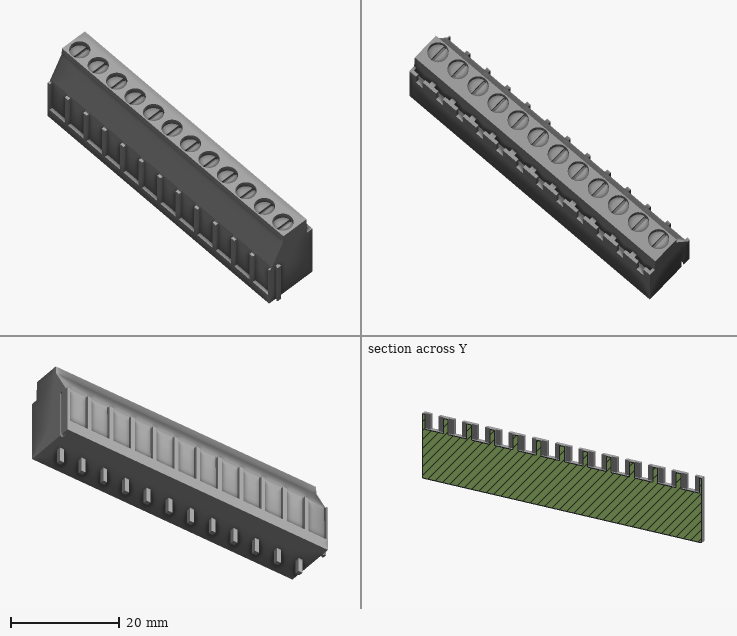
import cadquery as cq

pole_count = 12
overall_length = 60.65
tongue_projection = 0.65
body_length = overall_length - tongue_projection
pitch = body_length / pole_count

body_depth = 11.0
body_height = 17.2
shoulder_depth = 0.55
shoulder_height = 10.05
slope_top_y = 3.6
slope_top_height = 15.6
ledge_depth = 1.35
ledge_height = 13.05
upper_back_y = body_depth - ledge_depth
upper_back_lean = 0.2
upper_front_lean = 0.05

pocket_width = 4.1
pocket_bottom_depth = 0.65
pocket_top_depth = 0.7
pocket_offset = 0.1
pocket_floor_height = 2.35

screw_y = 5.8
well_diameter = 3.95
well_depth = 1.2
driver_slot_width = 0.6
driver_slot_depth = 0.6

label_neck_width = 1.7
label_neck_length = 0.65
label_head_width = 3.9
label_head_length = ledge_depth - label_neck_length
label_slot_depth = 3.05

pin_side = 0.9
pin_length = 3.1
pin_y = 5.6

tongue_y = 1.95
tongue_neck_width = 0.55
tongue_head_width = 0.9
tongue_neck_length = 0.2
tongue_flare_length = 0.2


def box(width, depth, height, x_center, y_front, z_bottom):
    """Box centred on x_center that starts at y_front and z_bottom."""
    return (
        cq.Workplane("XY")
        .box(width, depth, height, centered=(True, False, False))
        .translate((x_center, y_front, z_bottom))
    )


def make_body():
    profile = [
        (0, 0),
        (body_depth, 0),
        (body_depth, ledge_height),
        (upper_back_y, ledge_height),
        (upper_back_y - upper_back_lean, body_height),
        (slope_top_y + upper_front_lean, body_height),
        (slope_top_y, slope_top_height),
        (shoulder_depth, shoulder_height),
        (0, shoulder_height),
    ]
    return cq.Workplane("YZ").polyline(profile).close().extrude(body_length)


def make_tongue(x_root):
    """Upright bar pointing along +X: a straight neck that flares out to a wider head."""
    x_neck_end = x_root + tongue_neck_length
    x_flare_end = x_neck_end + tongue_flare_length
    x_tip = x_root + tongue_projection
    neck_half = tongue_neck_width / 2
    head_half = tongue_head_width / 2
    outline = [
        (x_root, -neck_half),
        (x_neck_end, -neck_half),
        (x_flare_end, -head_half),
        (x_tip, -head_half),
        (x_tip, head_half),
        (x_flare_end, head_half),
        (x_neck_end, neck_half),
        (x_root, neck_half),
    ]
    tongue = cq.Workplane("XY").polyline(outline).close().extrude(shoulder_height)
    return tongue.translate((0, tongue_y, 0))


def make_front_pocket(x):
    """Recess that deepens slightly upwards and runs out through the slope."""
    recess_top = shoulder_height + shoulder_depth
    profile = [
        (0, pocket_floor_height),
        (pocket_bottom_depth, pocket_floor_height),
        (pocket_top_depth, recess_top),
        (0, recess_top),
    ]
    recess = cq.Workplane("YZ").polyline(profile).close().extrude(pocket_width)
    return recess.translate((x + pocket_offset - pocket_width / 2, 0, 0))


def make_screw_well(x):
    well_floor = body_height - well_depth
    well = (
        cq.Workplane("XY", origin=(x, screw_y, well_floor))
        .circle(well_diameter / 2)
        .extrude(well_depth)
    )
    head = well.translate((0, 0, -driver_slot_depth))
    slot = box(
        driver_slot_width,
        well_diameter,
        driver_slot_depth,
        x,
        screw_y - well_diameter / 2,
        well_floor - driver_slot_depth,
    ).intersect(head)
    return well.union(slot)


def make_label_slot(x):
    floor = ledge_height - label_slot_depth
    head = box(label_head_width, label_head_length, label_slot_depth, x, upper_back_y, floor)
    neck = box(
        label_neck_width, label_neck_length, label_slot_depth, x, body_depth - label_neck_length, floor
    )
    return head.union(neck)


def make_pin(x):
    return box(pin_side, pin_side, pin_length, x, pin_y - pin_side / 2, -pin_length)


result = make_body().union(make_tongue(body_length)).cut(make_tongue(0))
for pole in range(pole_count):
    pole_x = (pole + 0.5) * pitch
    result = result.cut(make_front_pocket(pole_x))
    result = result.cut(make_screw_well(pole_x))
    result = result.cut(make_label_slot(pole_x))
    result = result.union(make_pin(pole_x))